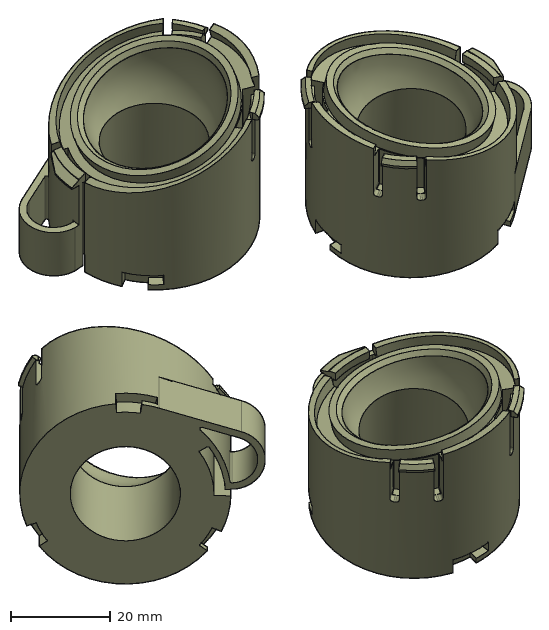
import cadquery as cq
import math

OVERALL_LENGTH = 50.95
BODY_RADIUS = 42.65 / 2
BODY_HEIGHT = 37.75
TILT = 17.0
PIVOT_HEIGHT = BODY_HEIGHT - BODY_RADIUS * math.tan(math.radians(TILT))
MARGIN = 2.55

RING_RADIUS = 35.0 / 2
GROOVE_RADIUS = 20.5
GROOVE_DEPTH = 2.55
BOWL_RADIUS = 15.05
BOWL_CHAMFER = 0.95
NECK_RADIUS = 11.1

GAP_INNER_RADIUS = 17.9
FLEX_INNER_RADIUS = 19.5
FLAP_INNER_RADIUS = 20.15
FLAP_HINGE_FILLET = 0.45
NOTCH_HEIGHT = 23.15

FRONT = -90
FLAP_GAP_HALF_ANGLE = 17.6
FLAP_HOOK_HALF_ANGLE = 13.4
FLAP_HOOK_RADIUS = 23.35
FLAP_HOOK_TIP_BOTTOM = 23.4
FLAP_HOOK_TIP_TOP = 23.8
FLAP_HOOK_SHOULDER = 24.65
FLAP_LEAD_IN_RADIUS = 21.85

CLIP_AZIMUTHS = (90 - 39.2, 90 + 39.2)
CLIP_HALF_ANGLE = 9.5
CLIP_GAP_HALF_ANGLE = 14.6
SLIT_CORNER_FILLET = 0.75
CLIP_RADIUS = 22.2
CLIP_HOOK_ROOT = 0.5
CLIP_TOP = 35.1
CLIP_BEVEL_HEIGHT = 34.25
CLIP_TIP_HEIGHT = 33.6
CLIP_ROOT_HEIGHT = 33.3

BAYONET_AZIMUTHS = (71, 191, 311)
BAYONET_HEIGHT = 3.95
BAYONET_ENTRY_ANGLE = 14.4
BAYONET_TOTAL_ANGLE = 23
BAYONET_STOP_HEIGHT = 1.5
BAYONET_INNER_RADIUS = 19.25

LOOP_HEIGHT = 12.1
LOOP_RADIUS = 7.0
LOOP_THICKNESS = 1.55
LOOP_FILLET = 0.4
LOOP_X = -1.75
LOOP_Y = LOOP_RADIUS + BODY_RADIUS - OVERALL_LENGTH


def polar(radius, azimuth):
    """Point at a radius and an azimuth about Z."""
    angle = math.radians(azimuth)
    return (radius * math.cos(angle), radius * math.sin(angle))


def revolved_sector(profile, start, end):
    """Turn a closed (radius, height) profile about Z from one azimuth to another."""
    sector = cq.Workplane("XZ").polyline(profile).close().revolve(end - start, (0, 0), (0, 1))
    return sector.rotate((0, 0, 0), (0, 0, 1), start)


def ring_sector(inner, outer, bottom, top, start, end):
    """Part of an upright ring between two azimuths."""
    return revolved_sector([(inner, bottom), (outer, bottom), (outer, top), (inner, top)], start, end)


def tilted(shape):
    """Move a shape drawn about the origin onto the sloping rim plane."""
    return shape.rotate((0, 0, 0), (1, 0, 0), TILT).translate((0, 0, PIVOT_HEIGHT))


def make_above_rim():
    """Everything above the sloping rim plane."""
    size = 4 * BODY_RADIUS
    return tilted(cq.Workplane("XY").rect(size, size).extrude(size))


def make_socket():
    """Groove around the raised ring, with the chamfered spherical bowl and neck inside it."""
    groove = cq.Workplane("XY").circle(GROOVE_RADIUS).circle(RING_RADIUS).extrude(-GROOVE_DEPTH)
    bowl = cq.Workplane("XY").sphere(BOWL_RADIUS)
    chamfer = cq.Workplane("XZ").polyline(
        [(0, 0), (BOWL_RADIUS + BOWL_CHAMFER, 0), (BOWL_RADIUS, -BOWL_CHAMFER), (0, -BOWL_CHAMFER)]
    ).close().revolve(360, (0, 0), (0, 1))
    neck_height = PIVOT_HEIGHT - math.sqrt(BOWL_RADIUS ** 2 - NECK_RADIUS ** 2)
    below_neck = cq.Workplane("XY").circle(BOWL_RADIUS + MARGIN).extrude(neck_height)
    neck = cq.Workplane("XY").circle(NECK_RADIUS).extrude(PIVOT_HEIGHT)
    return tilted(groove.union(chamfer).union(bowl)).cut(below_neck).union(neck)


def make_flap_gap():
    """Gap behind the flap, open at its free end, plus the notch above it."""
    left = FRONT - FLAP_GAP_HALF_ANGLE
    right = FRONT + FLAP_GAP_HALF_ANGLE
    outer = BODY_RADIUS + MARGIN
    behind = ring_sector(GAP_INNER_RADIUS, FLAP_INNER_RADIUS, -MARGIN, BODY_HEIGHT, left, right)
    behind = behind.edges("|Z and <X").fillet(FLAP_HINGE_FILLET)
    notch = ring_sector(GAP_INNER_RADIUS, outer, NOTCH_HEIGHT, BODY_HEIGHT, left, right)
    free_end = ring_sector(
        GAP_INNER_RADIUS, outer, -MARGIN, BODY_HEIGHT, FRONT + FLAP_HOOK_HALF_ANGLE, right
    )
    return behind.union(notch).union(free_end)


def make_flap_hook():
    """Wedge-shaped hook on the flap, with a slanted lead-in on its -X half."""
    hook = revolved_sector(
        [
            (FLEX_INNER_RADIUS, NOTCH_HEIGHT),
            (BODY_RADIUS, NOTCH_HEIGHT),
            (FLAP_HOOK_RADIUS, FLAP_HOOK_TIP_BOTTOM),
            (FLAP_HOOK_RADIUS, FLAP_HOOK_TIP_TOP),
            (BODY_RADIUS, FLAP_HOOK_SHOULDER),
            (BODY_RADIUS, BODY_HEIGHT),
            (FLEX_INNER_RADIUS, BODY_HEIGHT),
        ],
        FRONT - FLAP_HOOK_HALF_ANGLE,
        FRONT + FLAP_HOOK_HALF_ANGLE,
    )
    lead_end = polar(FLAP_LEAD_IN_RADIUS, FRONT - FLAP_HOOK_HALF_ANGLE)
    lead_in = (
        cq.Workplane("XY")
        .moveTo(0, -FLAP_HOOK_RADIUS)
        .lineTo(*lead_end)
        .lineTo(lead_end[0] - MARGIN, lead_end[1])
        .lineTo(lead_end[0] - MARGIN, -FLAP_HOOK_RADIUS - MARGIN)
        .lineTo(0, -FLAP_HOOK_RADIUS - MARGIN)
        .close()
        .extrude(BODY_HEIGHT)
    )
    return hook.cut(lead_in).cut(make_above_rim())


def make_clip_gap(azimuth):
    """Pocket behind a clip and the slits, rounded at the bottom, on both sides of it."""
    start = azimuth - CLIP_GAP_HALF_ANGLE
    end = azimuth + CLIP_GAP_HALF_ANGLE
    gap = ring_sector(GAP_INNER_RADIUS, FLEX_INNER_RADIUS, NOTCH_HEIGHT, BODY_HEIGHT, start, end)
    outer = BODY_RADIUS + MARGIN
    gap = gap.union(ring_sector(GAP_INNER_RADIUS, outer, CLIP_TOP, BODY_HEIGHT, start, end))
    slit_angle = CLIP_GAP_HALF_ANGLE - CLIP_HALF_ANGLE
    slit_width = BODY_RADIUS * math.radians(slit_angle)
    slit = (
        cq.Workplane("XY", origin=(GAP_INNER_RADIUS, 0, NOTCH_HEIGHT))
        .box(outer - GAP_INNER_RADIUS, slit_width, BODY_HEIGHT, centered=(False, True, False))
        .edges("|X and <Z")
        .fillet(SLIT_CORNER_FILLET)
    )
    for side in (-1, 1):
        middle = azimuth + side * (CLIP_HALF_ANGLE + slit_angle / 2)
        gap = gap.union(slit.rotate((0, 0, 0), (0, 0, 1), middle))
    return gap


def make_clip_hook(azimuth):
    """Bevelled hook standing out from the top of a clip."""
    inside = BODY_RADIUS - CLIP_HOOK_ROOT
    return revolved_sector(
        [
            (inside, CLIP_ROOT_HEIGHT),
            (BODY_RADIUS, CLIP_ROOT_HEIGHT),
            (CLIP_RADIUS, CLIP_TIP_HEIGHT),
            (CLIP_RADIUS, CLIP_BEVEL_HEIGHT),
            (BODY_RADIUS, CLIP_TOP),
            (inside, CLIP_TOP),
        ],
        azimuth - CLIP_HALF_ANGLE,
        azimuth + CLIP_HALF_ANGLE,
    )


def make_bayonet_slot(azimuth):
    """L-shaped slot: a full-height entry, then a locking run above a stop."""
    outer = BODY_RADIUS + MARGIN
    entry = ring_sector(
        BAYONET_INNER_RADIUS, outer, -MARGIN, BAYONET_HEIGHT, azimuth, azimuth + BAYONET_ENTRY_ANGLE
    )
    run = ring_sector(
        BAYONET_INNER_RADIUS, outer, BAYONET_STOP_HEIGHT, BAYONET_HEIGHT,
        azimuth, azimuth + BAYONET_TOTAL_ANGLE,
    )
    return entry.union(run)


def make_loop():
    """Strip that leaves the body along a tangent and curls back to the flap's free end.

    It overlaps the body as a solid web; only the opening outside the body is cut away.
    """
    centre_distance = math.hypot(LOOP_X, LOOP_Y)
    centre_azimuth = math.degrees(math.atan2(LOOP_Y, LOOP_X))
    normal = centre_azimuth - math.degrees(math.acos((BODY_RADIUS - LOOP_RADIUS) / centre_distance))

    def outline(inset):
        """Loop disc and the web joining it to the body, shrunk by an inset."""
        body_tangent = polar(BODY_RADIUS - inset, normal)
        loop_radius = LOOP_RADIUS - inset
        offset = polar(loop_radius, normal)
        disc = cq.Workplane("XY").center(LOOP_X, LOOP_Y).circle(loop_radius).extrude(LOOP_HEIGHT)
        web = (
            cq.Workplane("XY")
            .moveTo(*body_tangent)
            .lineTo(LOOP_X + offset[0], LOOP_Y + offset[1])
            .lineTo(LOOP_X, LOOP_Y)
            .lineTo(0, 0)
            .close()
            .extrude(LOOP_HEIGHT)
        )
        return disc.union(web)

    body = cq.Workplane("XY").circle(BODY_RADIUS).extrude(LOOP_HEIGHT)
    opening = outline(LOOP_THICKNESS).cut(body)
    body_corners = opening.edges("|Z").filter(
        lambda edge: math.hypot(edge.Center().x, edge.Center().y) < BODY_RADIUS + LOOP_FILLET
    )
    return outline(0).cut(body_corners.fillet(LOOP_FILLET))


result = cq.Workplane("XY").circle(BODY_RADIUS).extrude(BODY_HEIGHT)
result = result.union(make_loop())
result = result.cut(make_above_rim()).cut(make_socket()).cut(make_flap_gap())
result = result.union(make_flap_hook())
for clip_azimuth in CLIP_AZIMUTHS:
    result = result.cut(make_clip_gap(clip_azimuth)).union(make_clip_hook(clip_azimuth))
for slot_azimuth in BAYONET_AZIMUTHS:
    result = result.cut(make_bayonet_slot(slot_azimuth))